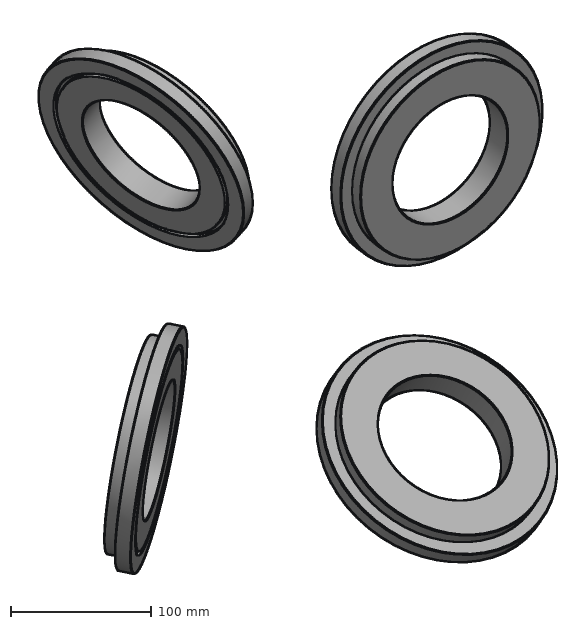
import cadquery as cq

flange_diameter = 180.0
boss_diameter = 159.8
bore_diameter = 102.0
total_thickness = 22.0
flange_thickness = 11.9
edge_chamfer = 0.5

groove_outer_diameter = 153.0
groove_inner_diameter = 146.9
groove_depth = 3.0


def disc(diameter, start, length):
    """Solid disc about the Y axis, from y = start to y = start + length."""
    plane = cq.Workplane("XZ", origin=(0, start, 0))
    return plane.circle(diameter / 2).extrude(-length)


flange = disc(flange_diameter, 0, flange_thickness).edges().chamfer(edge_chamfer)
boss = disc(boss_diameter, 0, total_thickness).faces(">Y").edges().chamfer(edge_chamfer)
body = flange.union(boss)

bore = disc(bore_diameter, 0, total_thickness)
body = body.cut(bore)
bore_rims = body.edges(cq.selectors.RadiusNthSelector(0))
body = bore_rims.chamfer(edge_chamfer)

groove = disc(groove_outer_diameter, 0, groove_depth).cut(
    disc(groove_inner_diameter, 0, groove_depth)
)
result = body.cut(groove)